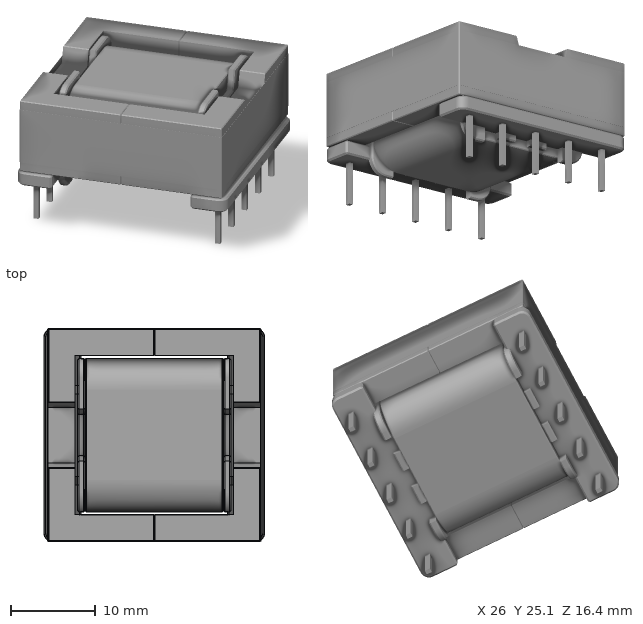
import cadquery as cq

core_size = 25.05
core_bottom = 1.85
core_height = 9.1
core_top = core_bottom + core_height
window_size = 18.72
core_ease = 0.1

core_notch_top_half = 3.82
core_notch_floor_half = 3.25
core_notch_depth = 2.03

leg_half_width = 5.88
leg_bevel = 1.01
leg_height = 5.85

tape_thickness = 0.03
tape_height = 6.8
tape_size = core_size + 2 * tape_thickness

overall_length = 26.0

winding_half_length = 8.09
winding_half_width = 9.05
winding_top = 10.63
winding_bottom = -1.1
winding_flat_half = 5.33
winding_ease = 0.1

tube_wall = 0.52

flange_inner = 8.16
flange_outer = 9.02
flange_half_width = 9.02
flange_top = 11.28
flange_bottom = -1.72
flange_corner = 2.15
flange_ease = 0.15
flange_notch_top_half = 3.07
flange_notch_floor_half = 2.42
flange_notch_floor = 8.81
foot_gap_half = 5.82

tab_bottom = -0.75
tab_width = 2.4
tab_offset = 2.31

board_width = tape_size
board_inner = 8.6
board_outer = overall_length / 2
board_thickness = 1.72
board_corner = 1.07
board_ease = 0.2

pin_size_x = 0.65
pin_size_y = 0.52
pin_x = 11.25
pin_pitch = 5.0
pins_per_side = 5
pin_bottom = -5.12

SIDES = (-1, 1)


def box(x_min, x_max, y_min, y_max, z_min, z_max):
    return cq.Workplane("XY").box(
        x_max - x_min, y_max - y_min, z_max - z_min, centered=False
    ).translate((x_min, y_min, z_min))


def square_block(size, bottom, height):
    return cq.Workplane("XY").workplane(offset=bottom).rect(size, size).extrude(height)


def notch_cutter(half_length, top_half, floor_half, top, floor, ease=0):
    """Prism along X whose section narrows downwards; ease bevels the upper edges it leaves."""
    right_side = [(top_half, top - ease), (floor_half, floor)]
    if ease:
        right_side.insert(0, (top_half + ease, top))
    left_side = [(-y, z) for y, z in reversed(right_side)]
    return cq.Workplane("YZ").polyline(right_side + left_side).close().extrude(half_length, both=True)


def make_leg():
    """Centre leg joining the two end walls; it also serves as the cutter for the bobbin bore."""
    leg_half_length = window_size / 2
    leg = box(
        -leg_half_length, leg_half_length, -leg_half_width, leg_half_width,
        core_bottom, core_bottom + leg_height,
    )
    return leg.edges("|X and >Z").chamfer(leg_bevel)


def make_core_half():
    """Ferrite half on the +X side; the eased seam edges leave a V-groove where it meets its twin."""
    half_size = core_size / 2
    block = box(0, half_size, -half_size, half_size, core_bottom, core_top)
    block = block.edges("not <X").chamfer(core_ease)
    block = block.cut(square_block(window_size, core_bottom, core_height))
    return block.faces("<X").edges().chamfer(core_ease)


def make_tape():
    """Band around the outer walls, thick enough to fill the seam groove behind it."""
    inner_size = core_size - 2 * core_ease
    bottom = core_bottom + (core_height - tape_height) / 2
    band = square_block(tape_size, bottom, tape_height).edges("|Z").chamfer(core_ease)
    return band.cut(square_block(inner_size, bottom, tape_height))


def make_core():
    half = make_core_half()
    notches = notch_cutter(
        core_size / 2, core_notch_top_half, core_notch_floor_half, core_top, core_top - core_notch_depth,
        core_ease,
    )
    return half.union(half.mirror("YZ")).union(make_tape()).cut(notches).union(make_leg())


def make_winding():
    """Wound block with rounded sides and bevelled ends, just clear of the flanges."""
    block = box(
        -winding_half_length, winding_half_length, -winding_half_width, winding_half_width,
        winding_bottom, winding_top,
    )
    block = block.edges("|X").fillet(winding_half_width - winding_flat_half)
    return block.faces("<X or >X").edges().chamfer(winding_ease)


def make_tube():
    """Sleeve block between the flanges; the leg bore is cut later."""
    half_width = leg_half_width + tube_wall
    return box(
        -flange_inner, flange_inner, -half_width, half_width,
        core_bottom - tube_wall, core_bottom + leg_height + tube_wall,
    )


def make_flange():
    """Flange on the +X side."""
    plate = box(
        flange_inner, flange_outer, -flange_half_width, flange_half_width, flange_bottom, flange_top
    )
    plate = plate.edges("|X").fillet(flange_corner)
    plate = plate.cut(
        notch_cutter(
            flange_outer, flange_notch_top_half, flange_notch_floor_half, flange_top, flange_notch_floor
        )
    )
    plate = plate.faces("<X or >X").edges().chamfer(flange_ease)
    plate = plate.cut(box(0, flange_outer, -foot_gap_half, foot_gap_half, flange_bottom, 0))
    for side in SIDES:
        tab_middle = side * tab_offset
        tab = box(
            flange_inner, flange_outer, tab_middle - tab_width / 2, tab_middle + tab_width / 2, tab_bottom, 0
        )
        plate = plate.union(tab.edges("|Y and <Z").chamfer(flange_ease))
    return plate


def make_board():
    """Pin board on the +X side, with its pins."""
    board = box(board_inner, board_outer, -board_width / 2, board_width / 2, 0, board_thickness)
    board = board.edges("|Z and >X").fillet(board_corner)
    board = board.edges("|Z and <X").chamfer(board_ease)
    board = board.faces("<Z or >Z").edges().chamfer(board_ease)
    for index in range(pins_per_side):
        y = (index - (pins_per_side - 1) / 2) * pin_pitch
        board = board.union(
            box(
                pin_x - pin_size_x / 2, pin_x + pin_size_x / 2, y - pin_size_y / 2, y + pin_size_y / 2,
                pin_bottom, board_thickness / 2,
            )
        )
    return board


def make_bobbin():
    end = make_flange().union(make_board())
    bobbin = make_winding().union(make_tube()).union(end).union(end.mirror("YZ"))
    return bobbin.cut(make_leg())


core = make_core()
bobbin = make_bobbin()

result = cq.Compound.makeCompound([core.val(), bobbin.val()])